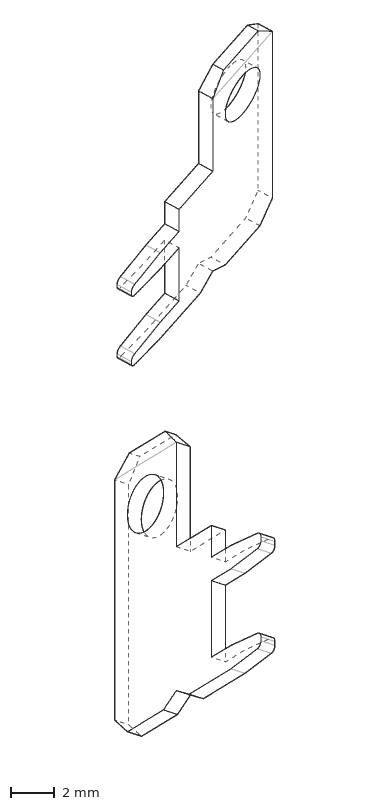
import cadquery as cq

thickness = 0.8
height = 14.22
overall_width = 11.28
tab_width = 4.76
body_width = 7.47
shoulder_height = 7.9
corner_chamfer = 1.0

tip_thickness = 0.6

hole_diameter = 2.79
hole_height = 11.05

notch_half_width = 1.0
notch_depth = 0.58

pin_width = 1.2
pin_pitch = 5.09
pin_count = 2
pin_straight_length = 1.51
pin_tip_width = 0.74
pin_tip_radius = 0.3


def make_plate():
    """Plate outline with chamfered corners, shoulder and bottom notch."""
    outline = [
        (-corner_chamfer, 0),
        (-tab_width + notch_half_width, 0),
        (-tab_width, notch_depth),
        (-tab_width - notch_half_width, 0),
        (-body_width, 0),
        (-body_width, shoulder_height),
        (-tab_width, shoulder_height),
        (-tab_width, height - corner_chamfer),
        (-tab_width + corner_chamfer, height),
        (-corner_chamfer, height),
        (0, height - corner_chamfer),
        (0, corner_chamfer),
    ]
    start = cq.Workplane("YZ", origin=(-thickness / 2, 0, 0))
    return start.polyline(outline).close().extrude(thickness)


def make_pin(center_height):
    """Pin that runs straight, then tapers to a rounded tip."""
    half_width = pin_width / 2
    half_tip = pin_tip_width / 2
    taper_start = -body_width - pin_straight_length
    outline = [
        (-body_width, -half_width),
        (taper_start, -half_width),
        (-overall_width, -half_tip),
        (-overall_width, half_tip),
        (taper_start, half_width),
        (-body_width, half_width),
    ]
    start = cq.Workplane("YZ", origin=(-thickness / 2, 0, center_height))
    pin = start.polyline(outline).close().extrude(thickness)
    return pin.faces("<Y").edges("|X").fillet(pin_tip_radius)


def make_lead_in_envelope():
    """Cross-section in X and Z that thins both faces toward the top."""
    half_thickness = thickness / 2
    half_tip = tip_thickness / 2
    section = [
        (-half_thickness, 0),
        (half_thickness, 0),
        (half_thickness, height - corner_chamfer),
        (half_tip, height),
        (-half_tip, height),
        (-half_thickness, height - corner_chamfer),
    ]
    return cq.Workplane("XZ").polyline(section).close().extrude(overall_width)


def make_hole():
    """Round cutter through the thickness, centred on the tab width."""
    center = (-tab_width / 2, hole_height)
    start = cq.Workplane("YZ", origin=(-thickness / 2, 0, 0))
    return start.moveTo(*center).circle(hole_diameter / 2).extrude(thickness)


result = make_plate()
for index in range(pin_count):
    result = result.union(make_pin(pin_width / 2 + index * pin_pitch))
result = result.intersect(make_lead_in_envelope()).cut(make_hole()).clean()